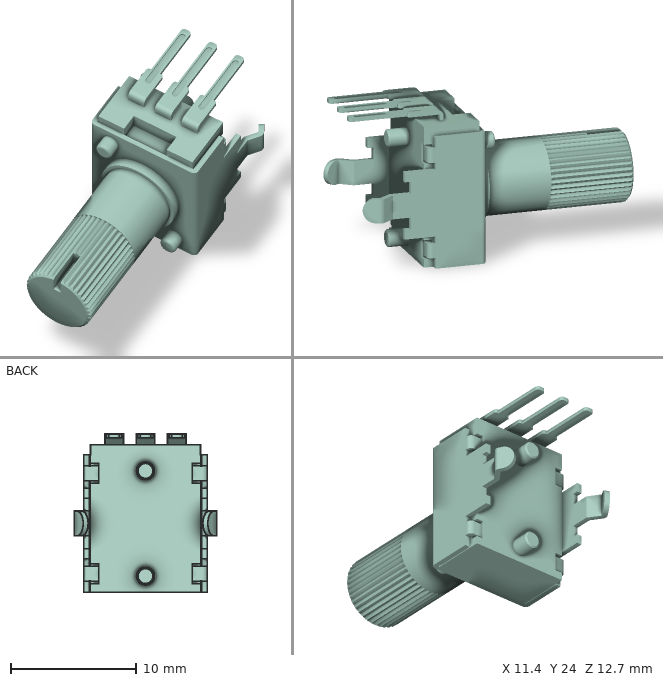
import cadquery as cq
import math


BRACKET_WIDTH = 9.9
BRACKET_HEIGHT = 11.0
SHEET = 0.45
FRONT_SHEET = 0.4
BEND_RADIUS = 0.4
WALL_REAR = 4.3
FLANGE_REAR = 6.9
FLANGE_HALF_HEIGHT = 2.8
FLANGE_NOTCH_Y = 6.4
FLANGE_NOTCH_HALF_HEIGHT = 2.0

LEG_HALF_HEIGHT = 1.0
LEG_SPAN = 11.4
LEG_CREST_Y = 9.075
LEG_SPREAD_ANGLE = 36.0
LEG_RETURN_LENGTH = 1.32
LEG_RETURN_ANGLE = 30.0

TAB_Z = 4.0
TAB_HEIGHT = 1.2
TAB_REAR = 4.93
TAB_REACH = 1.2
TAB_POCKET_HEIGHT = 1.6
TAB_POCKET_FRONT = 4.42

BASE_WIDTH = 8.8
BASE_TOP = 6.3
BASE_REAR = 5.1
WINDOW_WIDTH = 4.0
WINDOW_DEPTH = 1.5
WINDOW_FLOOR = 5.0

PEG_RADIUS = 0.72
PEG_Z = 4.2
FRONT_PEG_X = 3.0
FRONT_PEG_LENGTH = 1.2
FRONT_PEG_FILLET = 0.26
REAR_PEG_TIP = 6.8
REAR_PEG_CHAMFER = 0.12

TERMINAL_COUNT = 3
TERMINAL_PITCH = 2.5
TERMINAL_SHEET = 0.32
TERMINAL_TOP = 7.15
TERMINAL_FRONT = 3.05
TERMINAL_TIP = 10.89
TERMINAL_BEND_RADIUS = 0.45
WIDE_WIDTH = 1.5
NARROW_WIDTH = 0.84
SHOULDER_START = 5.87
SHOULDER_END = 6.03
SHOULDER_INSET = 0.13
TIP_RADIUS = 0.28
GROOVE_WIDTH = 0.54
GROOVE_START = 4.69
GROOVE_END = 10.36
GROOVE_DEPTH = 0.1

COLLAR_RADIUS = 3.4
COLLAR_LENGTH = 0.8
SHAFT_RADIUS = 3.0
SHAFT_CLEARANCE = 0.05
SHAFT_TIP = -13.1
KNURL_START = -6.1
KNURL_TEETH = 40
KNURL_DEPTH = 0.2
SHAFT_CHAMFER = 0.25
SLOT_WIDTH = 0.65
SLOT_FLOOR = 1.5
SLOT_LENGTH = 3.05


def box(x0, x1, y0, y1, z0, z1):
    """Box between opposite corners."""
    return cq.Workplane("XY").box(x1 - x0, y1 - y0, z1 - z0, centered=False).translate((x0, y0, z0))


def rod(radius, y0, y1, x=0.0, z=0.0):
    """Cylinder parallel to the Y axis."""
    return cq.Workplane("XZ", origin=(x, y0, z)).circle(radius).extrude(y0 - y1)


def mirrored_pair(right):
    """A right-hand feature together with its mirror image."""
    return right.union(right.mirror("YZ"))


def make_side_leg():
    """Right-hand snap-in leg: kinked outwards, then back inwards, with a rounded end."""
    outer = BRACKET_WIDTH / 2
    inner = outer - SHEET
    spread = math.radians(LEG_SPREAD_ANGLE)
    lean = math.radians(LEG_RETURN_ANGLE)
    along = (-math.sin(lean), math.cos(lean))
    inward = (-math.cos(lean), -math.sin(lean))

    hollow = (LEG_SPAN / 2 - SHEET, LEG_CREST_Y)
    crest_start = (hollow[0] + SHEET * math.cos(spread), hollow[1] - SHEET * math.sin(spread))
    crest_middle = (LEG_SPAN / 2, LEG_CREST_Y)
    crest_end = (hollow[0] - SHEET * inward[0], hollow[1] - SHEET * inward[1])
    tip_outer = (crest_end[0] + LEG_RETURN_LENGTH * along[0], crest_end[1] + LEG_RETURN_LENGTH * along[1])
    tip_inner = (tip_outer[0] + SHEET * inward[0], tip_outer[1] + SHEET * inward[1])
    kink_outer = (outer, crest_start[1] - (crest_start[0] - outer) / math.tan(spread))
    kink_inner = (inner, hollow[1] - (hollow[0] - inner) / math.tan(spread))

    strip = (
        cq.Workplane("XY", origin=(0, 0, -LEG_HALF_HEIGHT))
        .moveTo(inner, WALL_REAR)
        .lineTo(outer, WALL_REAR)
        .lineTo(*kink_outer)
        .lineTo(*crest_start)
        .threePointArc(crest_middle, crest_end)
        .lineTo(*tip_outer)
        .lineTo(*tip_inner)
        .lineTo(*hollow)
        .lineTo(*kink_inner)
        .close()
        .extrude(2 * LEG_HALF_HEIGHT)
    )
    tip_plane = cq.Plane(
        origin=(*tip_outer, 0),
        xDir=(*along, 0),
        normal=(*inward, 0),
    )
    end_blank = cq.Workplane(tip_plane).rect(2 * LEG_HALF_HEIGHT, 2 * LEG_HALF_HEIGHT).extrude(SHEET)
    round_end = cq.Workplane(tip_plane).center(-LEG_HALF_HEIGHT, 0).circle(LEG_HALF_HEIGHT).extrude(SHEET)
    return strip.cut(end_blank.cut(round_end))


def make_wall_flange():
    """Right-hand rear flange of the side wall, notched on both sides of the leg."""
    outer = BRACKET_WIDTH / 2
    flange = box(outer - SHEET, outer, WALL_REAR, FLANGE_REAR, -FLANGE_HALF_HEIGHT, FLANGE_HALF_HEIGHT)
    notch = box(
        outer - SHEET, outer, FLANGE_NOTCH_Y, FLANGE_REAR, -FLANGE_NOTCH_HALF_HEIGHT, FLANGE_NOTCH_HALF_HEIGHT
    )
    return flange.cut(notch)


def make_tab(z):
    """Right-hand tab folded inwards behind the base."""
    outer = BRACKET_WIDTH / 2
    z0 = z - TAB_HEIGHT / 2
    z1 = z + TAB_HEIGHT / 2
    stem = box(outer - SHEET, outer, WALL_REAR, TAB_REAR, z0, z1)
    lip = box(outer - TAB_REACH, outer, TAB_REAR - SHEET, TAB_REAR, z0, z1)
    return stem.union(lip).edges("|Z and >X and >Y").fillet(BEND_RADIUS)


def make_bracket():
    """U-shaped bracket with flanges, legs and tabs."""
    outer = BRACKET_WIDTH / 2
    top = BRACKET_HEIGHT / 2
    shell = box(-outer, outer, 0, WALL_REAR, -top, top).edges("|Z and <Y").fillet(BEND_RADIUS)
    inside = box(SHEET - outer, outer - SHEET, FRONT_SHEET, WALL_REAR, -top, top)
    right_side = make_wall_flange().union(make_side_leg())
    for z in (-TAB_Z, TAB_Z):
        right_side = right_side.union(make_tab(z))
    return shell.cut(inside).union(mirrored_pair(right_side))


def make_base():
    """Plastic base with a window in its top and pockets for the folded tabs."""
    half = BASE_WIDTH / 2
    bottom = -BRACKET_HEIGHT / 2
    base = box(-half, half, FRONT_SHEET, BASE_REAR, bottom, BASE_TOP)
    window = box(
        -WINDOW_WIDTH / 2, WINDOW_WIDTH / 2, FRONT_SHEET, FRONT_SHEET + WINDOW_DEPTH, WINDOW_FLOOR, BASE_TOP
    )
    base = base.cut(window)
    pocket_inner = BRACKET_WIDTH / 2 - TAB_REACH
    for z in (-TAB_Z, TAB_Z):
        z0 = z - TAB_POCKET_HEIGHT / 2
        z1 = z + TAB_POCKET_HEIGHT / 2
        base = base.cut(mirrored_pair(box(pocket_inner, half, TAB_POCKET_FRONT, BASE_REAR, z0, z1)))
    return base


def make_pegs():
    """Two rounded pegs on the front and two chamfered pegs on the rear."""
    pegs = []
    for side in (-1, 1):
        front = rod(PEG_RADIUS, -FRONT_PEG_LENGTH, FRONT_SHEET, side * FRONT_PEG_X, -side * PEG_Z)
        pegs.append(front.faces("<Y").edges().fillet(FRONT_PEG_FILLET))
        rear = rod(PEG_RADIUS, TAB_POCKET_FRONT, REAR_PEG_TIP, 0, side * PEG_Z)
        pegs.append(rear.faces(">Y").edges().chamfer(REAR_PEG_CHAMFER))
    return pegs


def make_terminal(x):
    """Bent terminal: a short riser out of the base and a grooved blade running to the rear."""
    bottom = TERMINAL_TOP - TERMINAL_SHEET
    wide = WIDE_WIDTH / 2
    narrow = NARROW_WIDTH / 2
    blade = (
        cq.Workplane("XY", origin=(0, 0, bottom))
        .moveTo(-wide, TERMINAL_FRONT)
        .lineTo(wide, TERMINAL_FRONT)
        .lineTo(wide, SHOULDER_START)
        .lineTo(wide - SHOULDER_INSET, SHOULDER_END)
        .lineTo(narrow, SHOULDER_END)
        .lineTo(narrow, TERMINAL_TIP)
        .lineTo(-narrow, TERMINAL_TIP)
        .lineTo(-narrow, SHOULDER_END)
        .lineTo(SHOULDER_INSET - wide, SHOULDER_END)
        .lineTo(-wide, SHOULDER_START)
        .close()
        .extrude(TERMINAL_SHEET)
        .edges("|Z and >Y")
        .fillet(TIP_RADIUS)
    )
    riser = box(-wide, wide, TERMINAL_FRONT, TERMINAL_FRONT + TERMINAL_SHEET, BASE_TOP, TERMINAL_TOP)
    terminal = blade.union(riser).edges("|X and >Z and <Y").fillet(TERMINAL_BEND_RADIUS)
    terminal = terminal.edges(
        cq.selectors.NearestToPointSelector((0, TERMINAL_FRONT + TERMINAL_SHEET, bottom))
    ).fillet(TERMINAL_BEND_RADIUS - TERMINAL_SHEET)
    groove = (
        cq.Workplane("XY", origin=(0, (GROOVE_START + GROOVE_END) / 2, TERMINAL_TOP))
        .slot2D(GROOVE_END - GROOVE_START, GROOVE_WIDTH, 90)
        .extrude(-GROOVE_DEPTH)
    )
    return terminal.cut(groove).translate((x, 0, 0))


def make_housing():
    """Bracket, base, collar, pegs and terminals as one solid with a blind bore for the shaft."""
    housing = make_base().union(make_bracket()).union(rod(COLLAR_RADIUS, -COLLAR_LENGTH, FRONT_SHEET))
    for peg in make_pegs():
        housing = housing.union(peg)
    for index in range(TERMINAL_COUNT):
        x = (index - (TERMINAL_COUNT - 1) / 2) * TERMINAL_PITCH
        housing = housing.union(make_terminal(x))
    return housing.cut(rod(SHAFT_RADIUS + SHAFT_CLEARANCE, -COLLAR_LENGTH, FRONT_SHEET))


def knurl_points():
    """Corners of a star outline with its teeth tips on the shaft radius."""
    points = []
    for step in range(2 * KNURL_TEETH):
        radius = SHAFT_RADIUS - KNURL_DEPTH * (step % 2)
        angle = math.pi / 2 + step * math.pi / KNURL_TEETH
        points.append((radius * math.cos(angle), radius * math.sin(angle)))
    return points


def make_shaft():
    """Shaft with a chamfered, knurled end and an indicator slot."""
    plain = rod(SHAFT_RADIUS, KNURL_START, FRONT_SHEET)
    grip = (
        cq.Workplane("XZ", origin=(0, KNURL_START, 0))
        .polyline(knurl_points())
        .close()
        .extrude(KNURL_START - SHAFT_TIP)
    )
    tip = rod(SHAFT_RADIUS, SHAFT_TIP, KNURL_START).faces("<Y").chamfer(SHAFT_CHAMFER)
    slot = box(
        -SLOT_WIDTH / 2, SLOT_WIDTH / 2, SHAFT_TIP, SHAFT_TIP + SLOT_LENGTH, SLOT_FLOOR, SHAFT_RADIUS
    )
    return plain.union(grip.intersect(tip)).cut(slot)


housing = make_housing()
shaft = make_shaft()
result = cq.Compound.makeCompound([housing.solids().val(), shaft.solids().val()])